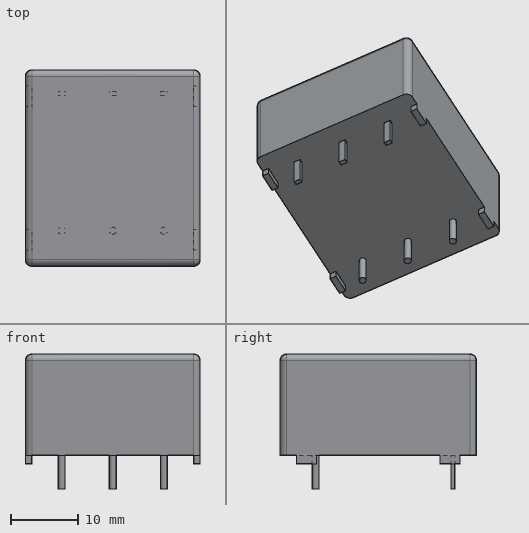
import cadquery as cq

body_length_x = 26.0
body_width_y = 29.2
total_height = 20.1
pin_length = 5.02
body_height = total_height - pin_length
edge_radius = 1.0

foot_thickness_x = edge_radius
foot_width_y = 3.0
foot_height = 1.25
foot_offset_y = 10.65

pin_pitch = 7.6
pin_columns_x = (-pin_pitch, 0, pin_pitch)
round_pin_diameter = 1.05
round_row_y = -9.31
flat_pin_width_x = 1.0
flat_pin_thickness_y = 0.6
flat_row_y = 11.1


def make_body():
    """Box with rounded upright and top edges and a sharp bottom rim."""
    box = cq.Workplane("XY").box(body_length_x, body_width_y, body_height, centered=(True, True, False))
    return box.edges("|Z or >Z").fillet(edge_radius)


def make_feet():
    """Four rectangular feet, two under each X side."""
    foot_center_x = (body_length_x - foot_thickness_x) / 2
    return (
        cq.Workplane("XY")
        .rect(2 * foot_center_x, 2 * foot_offset_y, forConstruction=True)
        .vertices()
        .rect(foot_thickness_x, foot_width_y)
        .extrude(-foot_height)
    )


def make_round_pins():
    return (
        cq.Workplane("XY")
        .pushPoints([(x, round_row_y) for x in pin_columns_x])
        .circle(round_pin_diameter / 2)
        .extrude(-pin_length)
    )


def make_flat_pins():
    return (
        cq.Workplane("XY")
        .pushPoints([(x, flat_row_y) for x in pin_columns_x])
        .rect(flat_pin_width_x, flat_pin_thickness_y)
        .extrude(-pin_length)
    )


result = make_body().union(make_feet()).union(make_round_pins()).union(make_flat_pins())